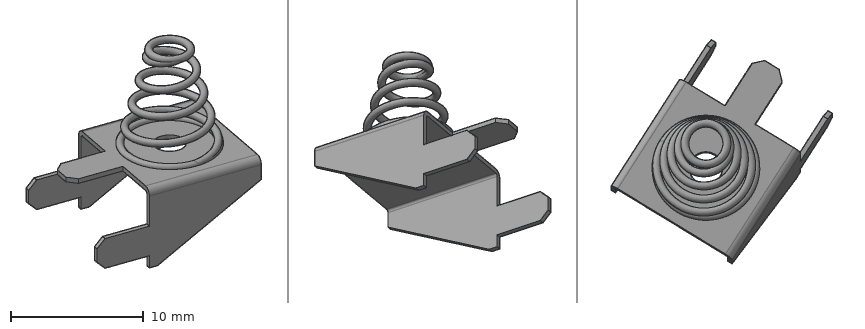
import cadquery as cq
import math

total_width = 10.75
total_length = 14.25
total_height = 15.2
plate_top = 6.81
plate_length = 9.71
front_edge = -4.83
back_edge = front_edge + plate_length
tab_tip = back_edge - total_length
sheet = 0.4
bend_radius = 0.6
hole_diameter = 2.5

wall_back_bottom = 4.94
foot_length = 0.7

tab_chamfer = 0.7
center_tab_width = 2.69
side_tab_bottom = 1.05
side_tab_top = 3.62

wire_radius = 0.3
bottom_ring_radius = 3.75
top_ring_radius = 1.58
spring_turns = 4
coil_undersize = 0.003
bottom_ring_z = plate_top
top_ring_z = total_height - wire_radius


def folded_sheet():
    """Top plate with two walls folded down, before the walls are trimmed."""
    outer = (
        cq.Workplane("XY")
        .box(total_width, plate_length, plate_top, centered=(True, False, False))
        .edges("|Y and >Z")
        .fillet(bend_radius)
    )
    inner = (
        cq.Workplane("XY")
        .box(total_width - 2 * sheet, plate_length, plate_top - sheet, centered=(True, False, False))
        .edges("|Y and >Z")
        .fillet(bend_radius - sheet)
    )
    return outer.cut(inner).translate((0, front_edge, 0))


def wall_trim():
    """Wedge removed below the sloped edge of both walls."""
    return (
        cq.Workplane("YZ")
        .moveTo(front_edge + foot_length, 0)
        .lineTo(back_edge, wall_back_bottom)
        .lineTo(back_edge, 0)
        .close()
        .extrude(total_width / 2, both=True)
    )


def tab(width):
    """Flat tab in XY, centred on X, with both tip corners chamfered."""
    length = front_edge - tab_tip
    return (
        cq.Workplane("XY")
        .box(width, length, sheet, centered=(True, False, True))
        .translate((0, tab_tip, 0))
        .edges("|Z and <Y")
        .chamfer(tab_chamfer)
    )


def bracket():
    body = folded_sheet().cut(wall_trim())
    body = body.union(tab(center_tab_width).translate((0, 0, plate_top - sheet / 2)))
    upright_tab = tab(side_tab_top - side_tab_bottom).rotate((0, 0, 0), (0, 1, 0), 90)
    for side in (-1, 1):
        tab_x = side * (total_width - sheet) / 2
        tab_z = (side_tab_top + side_tab_bottom) / 2
        body = body.union(upright_tab.translate((tab_x, 0, tab_z)))
    hole = cq.Workplane("XY").circle(hole_diameter / 2).extrude(total_height)
    return body.cut(hole)


def end_ring(radius, z):
    """Closed ring of wire, with its seam turned a quarter turn away from the coil end."""
    ring = cq.Workplane(cq.Solid.makeTorus(radius, wire_radius, cq.Vector(0, 0, z)))
    return ring.rotate((0, 0, 0), (0, 0, 1), 90)


def coil():
    """Wire swept along a conical helix, starting and ending on the +X side."""
    rise = top_ring_z - bottom_ring_z
    shrink = bottom_ring_radius - top_ring_radius

    def point(fraction):
        angle = 2 * math.pi * spring_turns * fraction
        radius = bottom_ring_radius - shrink * fraction
        return (radius * math.cos(angle), radius * math.sin(angle), bottom_ring_z + rise * fraction)

    points_per_turn = 16
    path = cq.Workplane("XY").parametricCurve(point, N=points_per_turn * spring_turns)
    start_tangent = (-shrink, 2 * math.pi * spring_turns * bottom_ring_radius, rise)
    start = cq.Plane(origin=point(0), xDir=(0, 0, 1), normal=start_tangent)
    return cq.Workplane(start).circle(wire_radius - coil_undersize).sweep(path, isFrenet=True)


base = bracket().union(end_ring(bottom_ring_radius, bottom_ring_z))
spring = coil().union(end_ring(top_ring_radius, top_ring_z))
result = base.union(spring).solids()